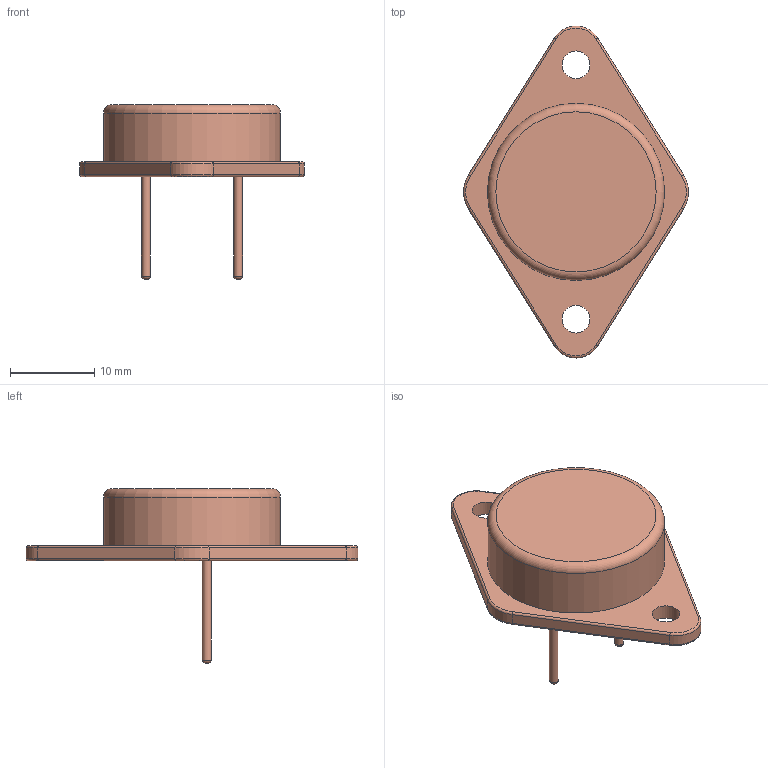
import cadquery as cq
import math

flange_width = 26.67
flange_length = 39.37
flange_thickness = 1.78
flange_edge_radius = 0.25
end_corner_radius = 3.0
side_corner_radius = 3.81

hole_diameter = 3.3
hole_spacing = 30.15

cap_diameter = 21.0
cap_height = 6.76
cap_edge_radius = 1.0

lead_diameter = 1.06
lead_spacing = 10.92
lead_offset_y = -1.75
lead_length = 12.16
lead_tip_radius = 0.38


def flange_outline():
    """Closed outline of four corner arcs joined by their common tangent lines."""
    half_width = flange_width / 2
    half_length = flange_length / 2
    end_centre_y = half_length - end_corner_radius
    side_centre_x = half_width - side_corner_radius

    centre_distance = math.hypot(side_centre_x, end_centre_y)
    side_normal = math.atan2(side_centre_x, end_centre_y) + math.asin(
        (side_corner_radius - end_corner_radius) / centre_distance
    )

    end_x = end_corner_radius * math.cos(side_normal)
    end_y = end_centre_y + end_corner_radius * math.sin(side_normal)
    side_x = side_centre_x + side_corner_radius * math.cos(side_normal)
    side_y = side_corner_radius * math.sin(side_normal)

    return (
        cq.Workplane("XY")
        .moveTo(end_x, end_y)
        .threePointArc((0, half_length), (-end_x, end_y))
        .lineTo(-side_x, side_y)
        .threePointArc((-half_width, 0), (-side_x, -side_y))
        .lineTo(-end_x, -end_y)
        .threePointArc((0, -half_length), (end_x, -end_y))
        .lineTo(side_x, -side_y)
        .threePointArc((half_width, 0), (side_x, side_y))
        .close()
    )


def make_flange():
    """Flange plate with rounded rims and two through holes."""
    plate = flange_outline().extrude(flange_thickness)
    plate = plate.faces("<Z or >Z").edges().fillet(flange_edge_radius)
    holes = (
        cq.Workplane("XY")
        .pushPoints([(0, -hole_spacing / 2), (0, hole_spacing / 2)])
        .circle(hole_diameter / 2)
        .extrude(flange_thickness)
    )
    return plate.cut(holes)


def make_cap():
    """Solid round cap with a rounded top edge."""
    cap = cq.Workplane("XY").workplane(offset=flange_thickness).circle(cap_diameter / 2).extrude(cap_height)
    return cap.faces(">Z").edges().fillet(cap_edge_radius)


def make_lead(x):
    """Straight round lead with a rounded tip, hanging from the flange underside."""
    lead = cq.Workplane("XY").center(x, lead_offset_y).circle(lead_diameter / 2).extrude(-lead_length)
    return lead.faces("<Z").edges().fillet(lead_tip_radius)


result = make_flange().union(make_cap())
for lead_x in (-lead_spacing / 2, lead_spacing / 2):
    result = result.union(make_lead(lead_x))